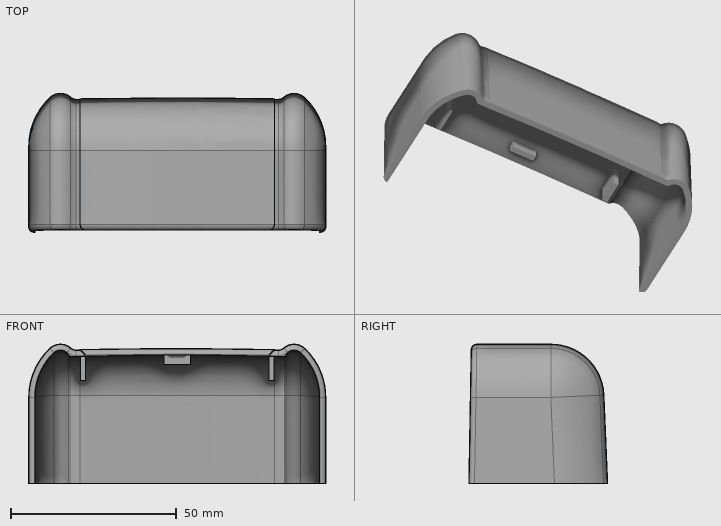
import cadquery as cq
import math

LENGTH = 89.75
HEIGHT = 42.1
WALL = 1.9
LIP_RADIUS = 1.7

AXIS_Y = 3.8
AXIS_Z = 26.0
BACK_LEAN = 2.4
FRONT_LEAN = 1.0
FRONT_FOOT_Y = -21.0

HALF = LENGTH / 2
EAR_X = 35.3
EAR_HEIGHT = HEIGHT - AXIS_Z
EAR_RADIUS = 4.7
VALLEY_RADIUS = 2.5
INNER_VALLEY_RADIUS = 0.45
VALLEY_HEIGHT = 14.3
PANEL_X = 29.35
PANEL_STEP = 0.2
CROWN_RISE = 0.3

HANGER_FRONT_Y = -15.5
TAB_INNER_X = 27.6
TAB_WIDTH = 1.6
TAB_DEPTH = 7.2
TAB_BOTTOM_Z = 31.05
BLOCK_WIDTH = 7.9
BLOCK_DEPTH = 1.8
BLOCK_BOTTOM_Z = 35.9

REACH = 2 * LENGTH

EAR_CENTRE_HEIGHT = EAR_HEIGHT - EAR_RADIUS
EAR_INSET = HALF - EAR_X
FLANK_RADIUS = (EAR_INSET**2 + EAR_CENTRE_HEIGHT**2 - EAR_RADIUS**2) / (2 * (EAR_INSET - EAR_RADIUS))
FLANK_CENTRE_X = HALF - FLANK_RADIUS


def on_circle(centre, radius, angle):
    """Point of a circle at an angle in radians."""
    return (centre[0] + radius * math.cos(angle), centre[1] + radius * math.sin(angle))


def end_arcs(inset, valley_radius):
    """Tangent arcs of the +X end, from the bend axis over the ear: (start, middle, end) for each."""
    ear_radius = EAR_RADIUS - inset
    valley_height = VALLEY_HEIGHT - inset + valley_radius
    valley_rise = valley_height - EAR_CENTRE_HEIGHT
    ear_to_valley = math.sqrt((ear_radius + valley_radius) ** 2 - valley_rise**2)
    flank_angle = math.atan2(EAR_CENTRE_HEIGHT, EAR_X - FLANK_CENTRE_X)
    valley_angle = math.atan2(valley_rise, -ear_to_valley)
    flank = ((FLANK_CENTRE_X, 0), FLANK_RADIUS - inset, 0, flank_angle)
    ear = ((EAR_X, EAR_CENTRE_HEIGHT), ear_radius, flank_angle, valley_angle)
    valley_centre = (EAR_X - ear_to_valley, valley_height)
    valley = (valley_centre, valley_radius, valley_angle + math.pi, 1.5 * math.pi)
    return [
        [on_circle(centre, radius, angle) for angle in (start, (start + end) / 2, end)]
        for centre, radius, start, end in (flank, ear, valley)
    ]


def section(inset, valley_radius, step):
    """Closed cross-section on the bend axis, shrunk by `inset`; `step` lifts the middle panel."""
    right_arcs = end_arcs(inset, valley_radius)
    left_arcs = [[(-x, height) for x, height in reversed(arc)] for arc in reversed(right_arcs)]
    floor = VALLEY_HEIGHT - inset
    crown = floor + PANEL_STEP + CROWN_RISE
    sketch = cq.Workplane("XZ", origin=(0, AXIS_Y, AXIS_Z)).moveTo(*right_arcs[0][0])
    for _, middle, end in right_arcs:
        sketch = sketch.threePointArc(middle, end)
    sketch = sketch.lineTo(PANEL_X, floor)
    if step:
        sketch = sketch.lineTo(PANEL_X, floor + step)
    sketch = sketch.threePointArc((0, crown), (-PANEL_X, floor + step))
    if step:
        sketch = sketch.lineTo(-PANEL_X, floor)
    sketch = sketch.lineTo(*left_arcs[0][0])
    for _, middle, end in left_arcs:
        sketch = sketch.threePointArc(middle, end)
    return sketch.close()


def elbow(inset, valley_radius, step):
    """Solid elbow: roof run, bend, leaning back run and the flat-sided fill inside the bend."""
    sweep = 90 - BACK_LEAN
    lean = math.radians(BACK_LEAN)
    roof = section(inset, valley_radius, step).extrude(REACH)
    bend = section(inset, valley_radius, step).revolve(sweep, (0, 0, 0), (-1, 0, 0))
    back = section(inset, valley_radius, step).extrude(-REACH)
    back = back.rotate((0, AXIS_Y, AXIS_Z), (1, AXIS_Y, AXIS_Z), -sweep)
    half_width = HALF - inset
    fill = (
        cq.Workplane("YZ", origin=(-half_width, AXIS_Y, AXIS_Z))
        .polyline([(0, 0), (-REACH, 0), (-REACH, -REACH), (REACH * math.tan(lean), -REACH)])
        .close()
        .extrude(2 * half_width)
    )
    return roof.union(bend).union(back).union(fill)


def trim_block():
    """Everything above the open foot and behind the leaning open front."""
    front_top_y = FRONT_FOOT_Y + HEIGHT * math.tan(math.radians(FRONT_LEAN))
    return (
        cq.Workplane("YZ", origin=(-LENGTH, 0, 0))
        .polyline([(FRONT_FOOT_Y, 0), (front_top_y, HEIGHT), (LENGTH, HEIGHT), (LENGTH, 0)])
        .close()
        .extrude(2 * LENGTH)
    )


def hanger(width, depth, bottom_z):
    """Block hanging from the roof, running up into the middle of the wall."""
    height = AXIS_Z + VALLEY_HEIGHT - WALL / 2 - bottom_z
    return cq.Workplane("XY", origin=(0, HANGER_FRONT_Y, bottom_z)).box(
        width, depth, height, centered=(True, False, False)
    )


outer = elbow(0, VALLEY_RADIUS, PANEL_STEP).intersect(trim_block())
outer = outer.faces("<Y").edges("not <Z").fillet(LIP_RADIUS)
cover = outer.cut(elbow(WALL, INNER_VALLEY_RADIUS, 0))

for side in (-1, 1):
    tab_x = side * (TAB_INNER_X + TAB_WIDTH / 2)
    cover = cover.union(hanger(TAB_WIDTH, TAB_DEPTH, TAB_BOTTOM_Z).translate((tab_x, 0, 0)))
cover = cover.union(hanger(BLOCK_WIDTH, BLOCK_DEPTH, BLOCK_BOTTOM_Z))

result = cover